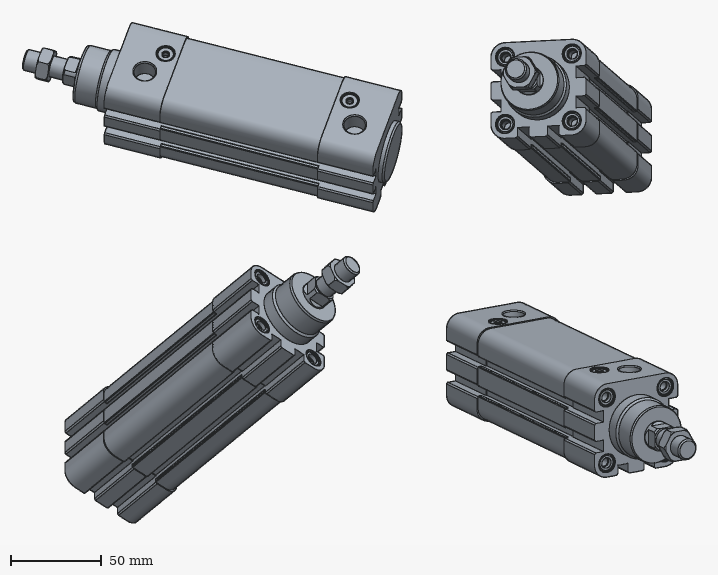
import cadquery as cq
import math

OVERALL_LENGTH = 212.5

CAP_WIDTH = 54.0
TUBE_WIDTH = 52.7
CORNER_RADIUS = 8.0
CAP_LENGTH = 32.0
FRONT_FACE_X = 54.0
BOSS_LENGTH = 3.5
BOSS_CHAMFER = 1.0
REAR_FACE_X = OVERALL_LENGTH - BOSS_LENGTH
TUBE_START_X = FRONT_FACE_X + CAP_LENGTH
TUBE_END_X = REAR_FACE_X - CAP_LENGTH

SPIGOT_DIAMETER = 35.0
COLLAR_DIAMETER = 33.0
COLLAR_START_X = 32.5
SPIGOT_START_X = 47.0
COLLAR_TAPER_LENGTH = 1.3
COLLAR_TAPER_DEPTH = 0.5
SPIGOT_TAPER_LENGTH = 1.3

SLOT_OFFSET = 8.5
SLOT_WIDTH = 6.5
SLOT_DEPTH = 5.7
SLOT_MOUTH_CHAMFER = 0.8
LIP_GAP = 5.5
LIP_CHAMFER = 0.5
LIP_DEPTH = 2.1

SCREW_OFFSET = 19.0
SCREW_HOLE_DIAMETER = 10.0
SCREW_HEAD_DIAMETER = 8.5
SCREW_RECESS = 0.6
SCREW_BORE_DIAMETER = 4.9
SCREW_BORE_DEPTH = 8.5
SCREW_STEP_DIAMETER = 6.0
SCREW_STEP_DEPTH = 2.5

PORT_FROM_CAP_END = 17.0
PORT_Y = -6.2
PORT_DIAMETER = 12.0
PORT_CHAMFER = 0.6
PORT_DEPTH = 10.6
CUSHION_FROM_CAP_END = 24.5
CUSHION_Y = 8.7
CUSHION_HOLE_DIAMETER = 9.8
CUSHION_HEAD_DIAMETER = 8.5
CUSHION_RECESS = 0.6
CUSHION_BORE_DIAMETER = 3.0
CUSHION_BORE_DEPTH = 3.2
CUSHION_STEP_DIAMETER = 4.2
CUSHION_STEP_DEPTH = 0.6

HOLE_MOUTH_CHAMFER = 0.5

ROD_DIAMETER = 16.0
ROD_START_X = 23.5
ROD_CHAMFER = 0.8
THREAD_DIAMETER = 12.0
THREAD_CHAMFER = 0.8
FLATS_WIDTH = 13.0
FLATS_END_X = 30.4
NUT_START_X = 8.5
NUT_LENGTH = 7.0
NUT_WIDTH = 17.0
NUT_FACE_DIAMETER = 17.8


def cylinder(diameter, start_x, end_x):
    """Cylinder on the X axis."""
    return cq.Workplane("YZ", origin=(start_x, 0, 0)).circle(diameter / 2).extrude(end_x - start_x)


def rounded_bar(width, start_x, end_x):
    """Square bar along X with round lengthwise edges."""
    bar = cq.Workplane("YZ", origin=(start_x, 0, 0)).rect(width, width).extrude(end_x - start_x)
    return bar.edges("|X").fillet(CORNER_RADIUS)


def slots(profile, start_x, end_x):
    """Cutters with one (offset, height) profile, along the -Y, -Z and +Y sides."""
    cutter = cq.Workplane("YZ", origin=(start_x, 0, 0)).polyline(profile).close().extrude(end_x - start_x)
    cutters = cq.Workplane("YZ")
    for angle in (-90, 0, 90):
        for side in (-1, 1):
            placed = cutter.translate((0, side * SLOT_OFFSET, 0)).rotate((0, 0, 0), (1, 0, 0), angle)
            cutters = cutters.add(placed)
    return cutters.combine()


def cap(start_x):
    """End cap whose slots widen in a chamfer at the mouth."""
    half_slot = SLOT_WIDTH / 2
    half_mouth = half_slot + SLOT_MOUTH_CHAMFER
    face = -CAP_WIDTH / 2
    floor = face + SLOT_DEPTH
    chamfer_top = face + SLOT_MOUTH_CHAMFER
    profile = [
        (-half_mouth, face),
        (half_mouth, face),
        (half_slot, chamfer_top),
        (half_slot, floor),
        (-half_slot, floor),
        (-half_slot, chamfer_top),
    ]
    end_x = start_x + CAP_LENGTH
    return rounded_bar(CAP_WIDTH, start_x, end_x).cut(slots(profile, start_x, end_x))


def tube():
    """Profile tube whose slots are narrowed by lips at the mouth."""
    half_slot = SLOT_WIDTH / 2
    half_gap = LIP_GAP / 2
    face = -TUBE_WIDTH / 2
    floor = face + SLOT_DEPTH
    lip_top = face + LIP_DEPTH
    half_mouth = half_gap + LIP_CHAMFER
    profile = [
        (-half_mouth, face),
        (half_mouth, face),
        (half_gap, face + LIP_CHAMFER),
        (half_gap, lip_top),
        (half_slot, lip_top),
        (half_slot, floor),
        (-half_slot, floor),
        (-half_slot, lip_top),
        (-half_gap, lip_top),
        (-half_gap, face + LIP_CHAMFER),
    ]
    bar = rounded_bar(TUBE_WIDTH, TUBE_START_X, TUBE_END_X)
    return bar.cut(slots(profile, TUBE_START_X, TUBE_END_X))


def front_collar():
    """Collar that tapers at its front end and widens in a short cone to the spigot."""
    radius = COLLAR_DIAMETER / 2
    spigot_radius = SPIGOT_DIAMETER / 2
    outline = [
        (COLLAR_START_X, 0),
        (COLLAR_START_X, radius - COLLAR_TAPER_DEPTH),
        (COLLAR_START_X + COLLAR_TAPER_LENGTH, radius),
        (SPIGOT_START_X - SPIGOT_TAPER_LENGTH, radius),
        (SPIGOT_START_X, spigot_radius),
        (FRONT_FACE_X, spigot_radius),
        (FRONT_FACE_X, 0),
    ]
    return cq.Workplane("XY").polyline(outline).close().revolve(360, (0, 0, 0), (1, 0, 0))


def rear_boss():
    return cylinder(SPIGOT_DIAMETER, REAR_FACE_X, OVERALL_LENGTH).faces(">X").chamfer(BOSS_CHAMFER)


def screw_cutter(hole, head, recess, bore, bore_depth, step, step_depth):
    """Space left around a sunk screw with a stepped bore; opens at Z = 0 and goes down.

    The hole has a chamfered mouth. The screw's bevelled rim rises from the recess to its end face.
    """
    top = cq.Workplane("XY")
    bevel = (hole - head) / 2
    mouth = top.circle(hole / 2 + HOLE_MOUTH_CHAMFER).extrude(-HOLE_MOUTH_CHAMFER, taper=45)
    screw = top.workplane(offset=-recess - bevel).circle(hole / 2).extrude(bevel, taper=45)
    space = top.circle(hole / 2).extrude(-recess - bevel).union(mouth).cut(screw)
    screw_face = top.workplane(offset=-recess)
    narrow_bore = screw_face.circle(bore / 2).extrude(-bore_depth)
    wide_bore = screw_face.circle(step / 2).extrude(-step_depth)
    return space.union(narrow_bore).union(wide_bore)


def corner_screw_cutter():
    """Cutter for one cap screw, turned to open towards -X."""
    cutter = screw_cutter(
        SCREW_HOLE_DIAMETER,
        SCREW_HEAD_DIAMETER,
        SCREW_RECESS,
        SCREW_BORE_DIAMETER,
        SCREW_BORE_DEPTH,
        SCREW_STEP_DIAMETER,
        SCREW_STEP_DEPTH,
    )
    return cutter.rotate((0, 0, 0), (0, 1, 0), -90)


def cushion_screw_cutter():
    """Cutter for one cushioning screw, opening towards +Z."""
    return screw_cutter(
        CUSHION_HOLE_DIAMETER,
        CUSHION_HEAD_DIAMETER,
        CUSHION_RECESS,
        CUSHION_BORE_DIAMETER,
        CUSHION_BORE_DEPTH,
        CUSHION_STEP_DIAMETER,
        CUSHION_STEP_DEPTH,
    )


def port_cutter(x):
    """Air port with a chamfered mouth in the top of a cap."""
    top = cq.Workplane("XY", origin=(x, PORT_Y, CAP_WIDTH / 2))
    mouth_radius = PORT_DIAMETER / 2 + PORT_CHAMFER
    mouth = top.circle(mouth_radius).extrude(-PORT_CHAMFER, taper=45)
    return top.circle(PORT_DIAMETER / 2).extrude(-PORT_DEPTH).union(mouth)


def make_housing():
    body = cap(FRONT_FACE_X).union(tube()).union(cap(TUBE_END_X))
    body = body.union(front_collar()).union(rear_boss())
    for y in (-SCREW_OFFSET, SCREW_OFFSET):
        for z in (-SCREW_OFFSET, SCREW_OFFSET):
            body = body.cut(corner_screw_cutter().translate((FRONT_FACE_X, y, z)))
    for end_x, inward in ((FRONT_FACE_X, 1), (REAR_FACE_X, -1)):
        body = body.cut(port_cutter(end_x + inward * PORT_FROM_CAP_END))
        cushion_place = (end_x + inward * CUSHION_FROM_CAP_END, CUSHION_Y, CAP_WIDTH / 2)
        body = body.cut(cushion_screw_cutter().translate(cushion_place))
    return body.cut(cylinder(ROD_DIAMETER, COLLAR_START_X, TUBE_START_X))


def rod_shank():
    """Thick part of the rod, with four wrench flats that run out at 45 degrees before the collar."""
    runout_length = (ROD_DIAMETER - FLATS_WIDTH) / 2
    runout_end_x = FLATS_END_X + runout_length
    flats = cq.Workplane("YZ", origin=(ROD_START_X, 0, 0)).rect(FLATS_WIDTH, FLATS_WIDTH)
    flats = flats.extrude(FLATS_END_X - ROD_START_X)
    runout = cq.Workplane("YZ", origin=(FLATS_END_X, 0, 0)).rect(FLATS_WIDTH, FLATS_WIDTH)
    runout = runout.extrude(runout_length, taper=-45)
    front = cylinder(ROD_DIAMETER, ROD_START_X, runout_end_x).faces("<X").chamfer(ROD_CHAMFER)
    shank = cylinder(ROD_DIAMETER, runout_end_x, TUBE_START_X)
    return shank.union(front.intersect(flats.union(runout)))


def nut():
    """Hexagon nut, two of its corners on the Y axis, with cone-trimmed corners at both faces."""
    corner_diameter = NUT_WIDTH / math.cos(math.radians(30))
    hexagon = cq.Workplane("YZ", origin=(NUT_START_X, 0, 0)).polygon(6, corner_diameter).extrude(NUT_LENGTH)
    trim = (corner_diameter - NUT_FACE_DIAMETER) / 2
    blank = cylinder(corner_diameter, NUT_START_X, NUT_START_X + NUT_LENGTH).faces("<X or >X").chamfer(trim)
    return hexagon.intersect(blank)


def make_piston_rod():
    thread = cylinder(THREAD_DIAMETER, 0, ROD_START_X).faces("<X").chamfer(THREAD_CHAMFER)
    return rod_shank().union(thread).union(nut())


housing = make_housing()
piston_rod = make_piston_rod()
result = cq.Compound.makeCompound([housing.val(), piston_rod.val()])